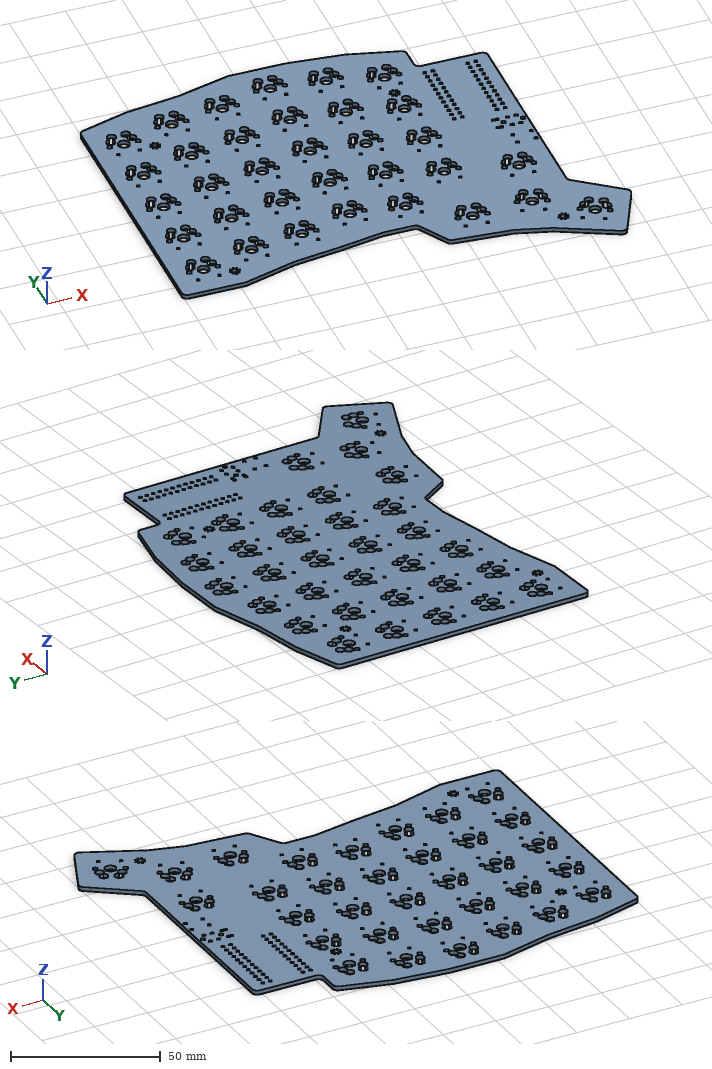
import cadquery as cq
import math


THICKNESS = 1.6
CORNER_RADIUS = 2.0
OUTLINE = [
    (-11.6, -11.9),
    (10.6, -11.9),
    (30.1, -6.6),
    (47.6, -4.2),
    (63.7, -1.5),
    (75.6, -1.5),
    (82.9, -13.5),
    (105.1, -15.5),
    (117.8, -19.0),
    (140.2, -29.3),
    (149.8, -8.0),
    (131.8, 5.1),
    (131.8, 82.7),
    (106.7, 82.7),
    (106.7, 92.5),
    (87.0, 97.7),
    (66.6, 100.0),
    (46.2, 100.0),
    (26.7, 95.1),
    (7.1, 92.5),
    (-11.6, 87.4),
]

KEY_PITCH = 19.0
STAGGER_STEP = 5.0
COLUMN_STAGGER = [steps * STAGGER_STEP for steps in (0, 1, 1.5, 2.5, 2, 1)]
ROWS = 5
LAST_COLUMN = len(COLUMN_STAGGER) - 1

THUMB_KEYS = [
    (95.0, -3.0, -5),
    (119.5, 18.5, -5),
    (116.5, -2.3, -15),
    (134.5, -14.0, -25),
]

SOCKET_GRID = 1.27
STEM_DIAMETER = 4.0
SIDE_POST_DIAMETER = 1.8
SIDE_POST_X = 4 * SOCKET_GRID
SOCKET_DIAMETER = 3.0
SOCKET_PLACES = [(2 * SOCKET_GRID, 4 * SOCKET_GRID), (3 * SOCKET_GRID, 2 * SOCKET_GRID)]
LED_PIN_DIAMETER = 1.0
LED_PIN_X = 3 * SOCKET_GRID
LED_PIN_Y = -5.0

SCREW_DIAMETER = 2.3
VIA_DIAMETER = 0.4
VIA_RING_RADIUS = 1.6
VIA_COUNT = 8
SCREW_LOW_Y = STAGGER_STEP - KEY_PITCH / 2
SCREW_HIGH_Y = SCREW_LOW_Y + (ROWS - 1) * KEY_PITCH
SCREW_PLACES = [
    (KEY_PITCH / 2, SCREW_LOW_Y),
    (KEY_PITCH / 2, SCREW_HIGH_Y),
    (LAST_COLUMN * KEY_PITCH, SCREW_HIGH_Y),
    (123.3, -14.0),
]

HEADER_PINS = 12
HEADER_LENGTH = 28.0
HEADER_PITCH = HEADER_LENGTH / (HEADER_PINS - 1)
HEADER_X = 108.5
HEADER_TOP_Y = 78.7
HEADER_SPACING = 15.3
HEADER_PAIR_OFFSET = 2.9
HEADER_PIN_DIAMETER = 1.1

JACK_Y = 43.1
PEG_X = [123.3, 130.2]
PEG_DIAMETER = 1.5
CONTACT_X = [120.5, 121.7, 125.5, 128.6]
CONTACT_ROW_OFFSET = 2.3
CONTACT_LENGTH = 1.3
CONTACT_WIDTH = 0.9

BUTTON_X = 127.0
BUTTON_Y = 33.2
BUTTON_LEG_SPAN_X = 6.6
BUTTON_LEG_SPAN_Y = 4.5
BUTTON_LEG_DIAMETER = 1.1


def mirrored(places):
    """Places together with their reflections in x = 0."""
    return [(side * x, y) for x, y in places for side in (-1, 1)]


def drill(body, places, diameter):
    """Drill through holes that do not touch each other."""
    cutters = cq.Workplane("XY").pushPoints(places).circle(diameter / 2).extrude(THICKNESS)
    return body.cut(cutters, clean=False)


def blank_board():
    """Flat board with every corner of its outline rounded."""
    blank = cq.Workplane("XY").polyline(OUTLINE).close().extrude(THICKNESS)
    return blank.edges("|Z").fillet(CORNER_RADIUS)


def key_places():
    """Centre and rotation of every key; the thumb key replaces the lowest key of the last column."""
    places = []
    for column, stagger in enumerate(COLUMN_STAGGER):
        first_row = 1 if column == LAST_COLUMN else 0
        for row in range(first_row, ROWS):
            places.append((column * KEY_PITCH, stagger + row * KEY_PITCH, 0))
    return places + THUMB_KEYS


def turned(places, key):
    """Move places given relative to a key centre onto that key."""
    key_x, key_y, rotation = key
    c = math.cos(math.radians(rotation))
    s = math.sin(math.radians(rotation))
    return [(key_x + c * x - s * y, key_y + s * x + c * y) for x, y in places]


def cut_keys(body):
    """Stem, side post, socket and LED pin holes of all keys."""
    socket_upper, socket_lower = SOCKET_PLACES
    hole_sets = [
        ([(0, 0)], STEM_DIAMETER),
        (mirrored([(SIDE_POST_X, 0)]), SIDE_POST_DIAMETER),
        (mirrored([socket_upper]), SOCKET_DIAMETER),
        (mirrored([socket_lower]), SOCKET_DIAMETER),
        (mirrored([(LED_PIN_X, LED_PIN_Y)]), LED_PIN_DIAMETER),
    ]
    keys = key_places()
    for places, diameter in hole_sets:
        all_places = [place for key in keys for place in turned(places, key)]
        body = drill(body, all_places, diameter)
    return body


def cut_screw_holes(body):
    """Screw holes and their rings of vias."""
    vias = []
    for x, y in SCREW_PLACES:
        for i in range(VIA_COUNT):
            angle = 2 * math.pi * i / VIA_COUNT
            vias.append((x + VIA_RING_RADIUS * math.cos(angle), y + VIA_RING_RADIUS * math.sin(angle)))
    return drill(drill(body, SCREW_PLACES, SCREW_DIAMETER), vias, VIA_DIAMETER)


def cut_headers(body):
    """Four columns of controller pins."""
    pins = []
    for pair in range(2):
        for side in range(2):
            x = HEADER_X + pair * HEADER_SPACING + side * HEADER_PAIR_OFFSET
            pins += [(x, HEADER_TOP_Y - i * HEADER_PITCH) for i in range(HEADER_PINS)]
    return drill(body, pins, HEADER_PIN_DIAMETER)


def cut_jack(body):
    """Pegs and contact slots of the audio jack; the first two slots of a row overlap."""
    body = drill(body, [(x, JACK_Y) for x in PEG_X], PEG_DIAMETER)
    for x in CONTACT_X:
        places = [(x, JACK_Y + side * CONTACT_ROW_OFFSET) for side in (-1, 1)]
        slots = cq.Workplane("XY").pushPoints(places).slot2D(CONTACT_LENGTH, CONTACT_WIDTH)
        body = body.cut(slots.extrude(THICKNESS), clean=False)
    return body


def cut_button(body):
    """Four legs of the reset button."""
    legs = [
        (BUTTON_X + i * BUTTON_LEG_SPAN_X / 2, BUTTON_Y + j * BUTTON_LEG_SPAN_Y / 2)
        for i in (-1, 1)
        for j in (-1, 1)
    ]
    return drill(body, legs, BUTTON_LEG_DIAMETER)


board = blank_board()
board = cut_keys(board)
board = cut_screw_holes(board)
board = cut_headers(board)
board = cut_jack(board)
result = cut_button(board)